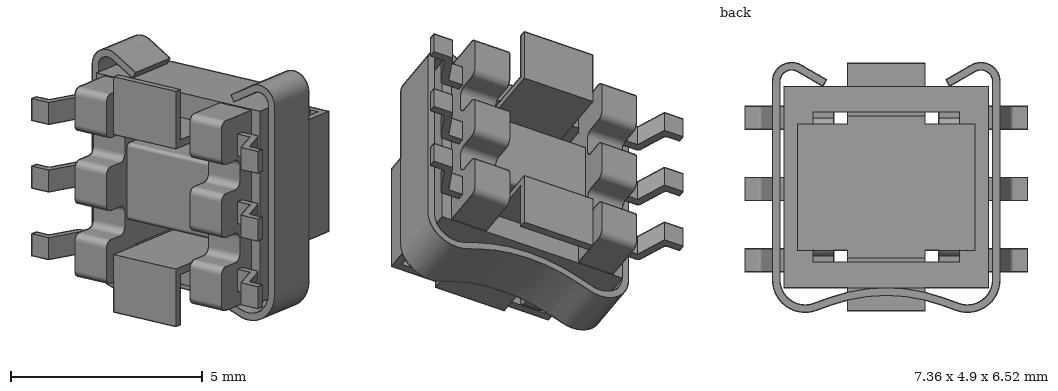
import cadquery as cq
import math


core_x, core_y, core_z = 5.33, 1.95, 5.25
window_z = 3.9
leg_z = 1.5
core_front = -core_y / 2
core_back = core_y / 2

flange_inner_x = 1.36
flange_thickness = 0.55
flange_outer_x = flange_inner_x + flange_thickness
flange_z = 3.6
flange_behind_core = 1.25
flange_radius = 0.25
tube_z = 2.105
tube_ahead_of_core = 0.4
tube_behind_core = 0.55
tube_radius = 0.1
leg_gap = 0.15

block_x = 1.02
block_outer_x = flange_inner_x + block_x
block_depth = 1.3
tooth_z = 1.2
notch_z = 0.8
notch_depth = 0.8
notch_pitch = tooth_z + notch_z
block_z = 3 * tooth_z + 2 * notch_z
block_radius = 0.2
block_front = core_front - block_depth

sheet = 0.2
pin_z = 0.6
pin_pitch = 1.855
pin_row_offset_z = -0.05
pin_tip_x = 3.68
pin_shoulder_x = 2.79
pin_foot_x = 3.13
pin_bend_radius = 0.1
front_reach = 1.45
pin_drop = 0.85
foot_front = core_front - front_reach
pin_shoulder_y = foot_front + pin_drop

shield_x = 4.64
shield_behind_core = 1.5
shield_back = core_back + shield_behind_core
shield_lip = 1.0
strap_x = 2.025
strap_inner_z = 3.3
strap_outer_z = strap_inner_z + 2 * sheet
shield_front_z = 6.455

clip_x = 5.93
clip_y = 1.5
hook_radius = 0.5
hook_centre_z = 2.745
hook_slope = math.radians(30)
heel_radius = 0.855
heel_centre_z = -2.415
heel_slope = math.radians(20)


def box_between(x0, x1, y0, y1, z0, z1):
    return cq.Workplane("XY").box(x1 - x0, y1 - y0, z1 - z0, centered=False).translate((x0, y0, z0))


def x_centred_box(width, y0, y1, height):
    """Box centred on X and Z that spans y0 to y1."""
    return box_between(-width / 2, width / 2, y0, y1, -height / 2, height / 2)


def make_core():
    core = x_centred_box(core_x, core_front, core_back, core_z)
    windows = x_centred_box(2 * flange_outer_x, core_front, core_back, window_z)
    leg = x_centred_box(core_x, core_front, core_back, leg_z)
    return core.cut(windows).union(leg)


def make_bobbin():
    tube = x_centred_box(
        2 * flange_inner_x, core_front - tube_ahead_of_core, core_back + tube_behind_core, tube_z
    ).edges("|X").fillet(tube_radius)
    flange_back = core_back + flange_behind_core
    flanges = x_centred_box(2 * flange_outer_x, core_front, flange_back, flange_z)
    flanges = flanges.edges("|X and >Y").fillet(flange_radius)
    between_flanges = x_centred_box(2 * flange_inner_x, core_front, flange_back, flange_z)
    bore = x_centred_box(2 * flange_outer_x, core_front, core_back + leg_gap, leg_z)
    return flanges.cut(between_flanges).union(tube).cut(bore)


def make_block():
    """Terminal block on the +X side."""
    block = box_between(
        flange_inner_x, block_outer_x, block_front, core_front, -block_z / 2, block_z / 2
    )
    for side in (-1, 1):
        notch_centre = side * notch_pitch / 2
        notch = box_between(
            flange_inner_x, block_outer_x, block_front, block_front + notch_depth,
            notch_centre - notch_z / 2, notch_centre + notch_z / 2,
        )
        block = block.cut(notch)
    return block.edges("|X").edges("not >Y").fillet(block_radius)


def make_pin(centre_z):
    """Gull-wing pin on the +X side."""
    bend = math.atan2(pin_shoulder_y - foot_front, pin_foot_x - pin_shoulder_x)
    corner_shift = sheet * math.tan(bend / 2)
    back_bends = [
        (pin_foot_x + corner_shift, foot_front + sheet),
        (pin_shoulder_x + corner_shift, pin_shoulder_y + sheet),
    ]
    outline = [
        (block_outer_x, pin_shoulder_y),
        (pin_shoulder_x, pin_shoulder_y),
        (pin_foot_x, foot_front),
        (pin_tip_x, foot_front),
        (pin_tip_x, foot_front + sheet),
        *back_bends,
        (block_outer_x, pin_shoulder_y + sheet),
    ]
    pin = cq.Workplane("XY").polyline(outline).close().extrude(pin_z / 2, both=True)
    for bend_point in back_bends:
        edge = cq.selectors.NearestToPointSelector((*bend_point, 0))
        pin = pin.edges("|Z").edges(edge).fillet(pin_bend_radius)
    return pin.translate((0, 0, centre_z))


def make_wound_core():
    terminals = make_block()
    for row in (-1, 0, 1):
        terminals = terminals.union(make_pin(pin_row_offset_z + row * pin_pitch))
    wound_core = make_core().union(make_bobbin())
    return wound_core.union(terminals).union(terminals.mirror("YZ"))


def make_shield():
    shield = x_centred_box(shield_x, shield_back - shield_lip, shield_back, strap_inner_z)
    inside = x_centred_box(
        shield_x - 2 * sheet, shield_back - shield_lip, shield_back - sheet, strap_inner_z
    )
    shield = shield.cut(inside)
    strap = box_between(
        -strap_x / 2, strap_x / 2, foot_front, shield_back, strap_inner_z / 2, strap_outer_z / 2
    )
    front_tab = box_between(
        -strap_x / 2, strap_x / 2, foot_front, foot_front + sheet, strap_inner_z / 2, shield_front_z / 2
    )
    bent_strap = strap.union(front_tab)
    return shield.union(bent_strap).union(bent_strap.mirror("XY"))


def polar(centre, radius, angle):
    """Point in the XZ plane on a circle about centre."""
    return (centre[0] + radius * math.cos(angle), centre[1] + radius * math.sin(angle))


def make_clip():
    hook = (clip_x / 2 - hook_radius, hook_centre_z)
    heel = (clip_x / 2 - heel_radius, heel_centre_z)
    hook_inner = hook_radius - sheet
    heel_inner = heel_radius - sheet
    up = math.pi / 2

    hook_end = up + hook_slope
    hook_mid = hook_end / 2
    arm_outer = polar(hook, hook_radius, hook_end)
    arm_inner = polar(hook, hook_inner, hook_end)
    arm_length = (arm_inner[1] - core_z / 2) / math.sin(hook_slope)
    arm_direction = math.pi + hook_slope
    tip_outer = polar(arm_outer, arm_length, arm_direction)
    tip_inner = polar(arm_inner, arm_length, arm_direction)

    crown_z = -core_z / 2
    heel_height = heel_centre_z - crown_z
    bow_radius = (
        heel[0] * math.sin(heel_slope) + heel_height * math.cos(heel_slope) - heel_inner
    ) / (1 - math.cos(heel_slope))
    bow = (0, crown_z - bow_radius)
    heel_end = -up - heel_slope
    heel_mid = heel_end / 2
    bow_end = up - heel_slope
    bow_mid = up - heel_slope / 2
    bow_inner = bow_radius - sheet

    outline = (
        cq.Workplane("XZ")
        .moveTo(*polar(bow, bow_inner, up))
        .threePointArc(polar(bow, bow_inner, bow_mid), polar(bow, bow_inner, bow_end))
        .lineTo(*polar(heel, heel_radius, heel_end))
        .threePointArc(polar(heel, heel_radius, heel_mid), polar(heel, heel_radius, 0))
        .lineTo(*polar(hook, hook_radius, 0))
        .threePointArc(polar(hook, hook_radius, hook_mid), arm_outer)
        .lineTo(*tip_outer)
        .lineTo(*tip_inner)
        .lineTo(*arm_inner)
        .threePointArc(polar(hook, hook_inner, hook_mid), polar(hook, hook_inner, 0))
        .lineTo(*polar(heel, heel_inner, 0))
        .threePointArc(polar(heel, heel_inner, heel_mid), polar(heel, heel_inner, heel_end))
        .lineTo(*polar(bow, bow_radius, bow_end))
        .threePointArc(polar(bow, bow_radius, bow_mid), polar(bow, bow_radius, up))
        .close()
    )
    half_clip = outline.extrude(clip_y / 2, both=True)
    return half_clip.union(half_clip.mirror("YZ"))


wound_core = make_wound_core()
shield = make_shield()
clip = make_clip()

result = cq.Compound.makeCompound([wound_core.val(), shield.val(), clip.val()])